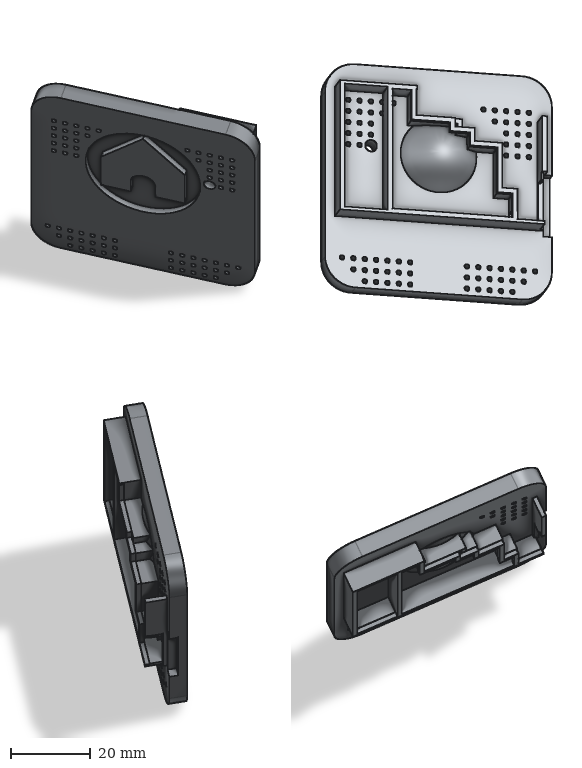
import cadquery as cq
import math

plate_width = 58.5
plate_height = 59.0
plate_depth = 4.6
corner_radius = 7.7
total_depth = 10.2

pocket_diameter = 30.0
pocket_z = 6.95
pocket_depth = 1.75
house_half_width = 11.0
house_base_z = -1.1
house_eave_z = 9.9
house_peak_z = 20.6
door_radius = 3.25
door_top_z = 5.95

vent_diameter = 1.2
vent_outer_x = 23.3
vent_top_z = 19.95
low_vent_outer_x = 24.9
low_vent_inner_x = 7.3
low_vent_top_z = -21.85
low_vent_counts = (7, 6, 5)
vent_pitch = (low_vent_outer_x - low_vent_inner_x) / (low_vent_counts[0] - 1)
left_vent_counts = (5, 4, 3, 3, 3)
right_vent_counts = (5, 4, 3, 3, 2)
indicator_diameter = 3.0
indicator_x = 17.4
indicator_z = 8.25

housing_half_width = 26.7
side_wall = 1.25
end_wall = 0.8
housing_top_z = 23.1
housing_bottom_z = -11.05
left_wall_top_z = 17.5
top_wall_left_x = 6.8

ledge_depth = 1.25
ledge_y = total_depth - ledge_depth
ledge_width = 0.2
divider_wall = 1.25
divider_right_x = 14.4
divider_gap_top_z = -7.5
base_first_step_x = -5.15
lip_first_step_x = -3.0
lower_step_xs = (-8.25, -15.35, -19.3)
step_zs = (15.5, 13.2, 9.8, -2.05)

dome_base_radius = 9.8
dome_height = 3.2

plug_top_z = 2.9
plug_recess = 0.7
plug_sill_y = 5.6
socket_top_z = 1.05
notch_top_z = 3.8
notch_bottom_z = -12.5
notch_depth = 2.3
notch_reach = 2.25


def box(x0, x1, y0, y1, z0, z1):
    """Box between two opposite corners."""
    return cq.Workplane("XY").box(x1 - x0, y1 - y0, z1 - z0, centered=False).translate((x0, y0, z0))


def profile_plane(y):
    """XZ sketch plane at depth y; negative extrusions go towards +Y."""
    return cq.Workplane("XZ", origin=(0, y, 0))


def make_house():
    door_spring_z = door_top_z - door_radius
    return (
        profile_plane(0)
        .moveTo(-house_half_width, house_base_z)
        .lineTo(-house_half_width, house_eave_z)
        .lineTo(0, house_peak_z)
        .lineTo(house_half_width, house_eave_z)
        .lineTo(house_half_width, house_base_z)
        .lineTo(door_radius, house_base_z)
        .lineTo(door_radius, door_spring_z)
        .threePointArc((0, door_top_z), (-door_radius, door_spring_z))
        .lineTo(-door_radius, house_base_z)
        .close()
        .extrude(-pocket_depth)
    )


def make_plate():
    plate = (
        profile_plane(0)
        .rect(plate_width, plate_height)
        .extrude(-plate_depth)
        .edges("|Y")
        .fillet(corner_radius)
    )
    pocket = profile_plane(0).center(0, pocket_z).circle(pocket_diameter / 2).extrude(-pocket_depth)
    notch = box(
        -plate_width / 2, -plate_width / 2 + notch_reach,
        plate_depth - notch_depth, plate_depth,
        notch_bottom_z, notch_top_z,
    )
    return plate.cut(pocket).union(make_house()).cut(notch)


def vent_rows(start_x, step_x, top_z, counts):
    """Hole centres of rows that all start at the same X, topmost row first."""
    return [
        (start_x + column * step_x, top_z - row * vent_pitch)
        for row, count in enumerate(counts)
        for column in range(count)
    ]


def make_holes():
    centres = vent_rows(-vent_outer_x, vent_pitch, vent_top_z, left_vent_counts)
    centres += vent_rows(vent_outer_x, -vent_pitch, vent_top_z, right_vent_counts)
    for side in (-1, 1):
        centres += vent_rows(side * low_vent_inner_x, side * vent_pitch, low_vent_top_z, low_vent_counts)
    vents = profile_plane(0).pushPoints(centres).circle(vent_diameter / 2).extrude(-plate_depth)
    indicator = profile_plane(0).center(indicator_x, indicator_z).circle(indicator_diameter / 2)
    return vents.union(indicator.extrude(-plate_depth))


def make_outer_walls():
    left, right = -housing_half_width, housing_half_width
    front, back = plate_depth, total_depth
    walls = box(left, left + side_wall, front, back, housing_bottom_z, left_wall_top_z)
    walls = walls.union(box(right - side_wall, right, front, back, housing_bottom_z, housing_top_z))
    floor_z = housing_bottom_z + end_wall
    walls = walls.union(box(left, right, front, back, housing_bottom_z, floor_z))
    walls = walls.union(box(left, right, front, ledge_y, floor_z, floor_z + ledge_width))
    return walls.union(box(top_wall_left_x, right, front, back, housing_top_z - end_wall, housing_top_z))


def divider_outline(first_step_x, inset):
    """Corners of the stepped divider, its stepped side set in by inset."""
    corners = [(divider_right_x, housing_bottom_z), (divider_right_x, housing_top_z)]
    edge_x = top_wall_left_x + inset
    corners.append((edge_x, housing_top_z))
    lower_edge_xs = [x + inset for x in lower_step_xs]
    for x, z in zip([first_step_x] + lower_edge_xs, step_zs):
        corners += [(edge_x, z - inset), (x, z - inset)]
        edge_x = x
    corners.append((edge_x, housing_bottom_z))
    return corners


def divider_ring(outline, y0, y1):
    """Closed wall that follows the inside of the outline between two depths."""
    solid = profile_plane(y0).polyline(outline).close().extrude(y0 - y1)
    core = profile_plane(y0).polyline(outline).close().offset2D(-divider_wall, "intersection")
    return solid.cut(core.extrude(y0 - y1))


def make_divider():
    base = divider_ring(divider_outline(base_first_step_x, 0), plate_depth, ledge_y)
    lip = divider_ring(divider_outline(lip_first_step_x, ledge_width), ledge_y, total_depth)
    left_edge_x = lower_step_xs[-1]
    gap = box(
        left_edge_x, left_edge_x + divider_wall,
        plug_sill_y, ledge_y,
        housing_bottom_z, divider_gap_top_z,
    )
    return base.union(lip).cut(gap)


def make_dome():
    sphere_radius = (dome_base_radius**2 + dome_height**2) / (2 * dome_height)
    dome_tip_y = plate_depth + dome_height
    half_angle = math.asin(dome_base_radius / sphere_radius) / 2
    middle_x = sphere_radius * math.sin(half_angle)
    middle_y = dome_tip_y - sphere_radius * (1 - math.cos(half_angle))
    return (
        cq.Workplane("XY", origin=(0, 0, pocket_z))
        .moveTo(0, plate_depth)
        .lineTo(dome_base_radius, plate_depth)
        .threePointArc((middle_x, middle_y), (0, dome_tip_y))
        .close()
        .revolve(360, (0, 0, 0), (0, 1, 0))
    )


def make_plug_opening():
    """Recess for the plug body outside the left wall, and the openings through that wall."""
    left = -housing_half_width
    inner = left + side_wall
    recess = box(left, left + plug_recess, plug_sill_y, total_depth, housing_bottom_z, plug_top_z)
    floor_z = housing_bottom_z + end_wall
    socket = box(left, inner, plug_sill_y, ledge_y, floor_z + ledge_width, socket_top_z)
    cover_gap = box(left, inner, ledge_y, total_depth, floor_z, plug_top_z)
    return recess.union(socket).union(cover_gap)


body = make_plate().union(make_outer_walls()).union(make_divider()).union(make_dome())
result = body.cut(make_holes()).cut(make_plug_opening())